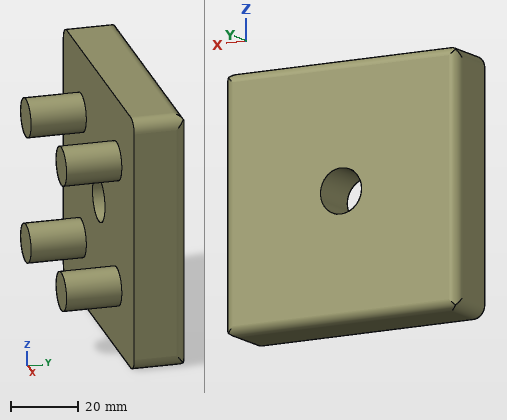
import cadquery as cq

plate_side = 80.0
plate_thickness = 16.0
corner_radius = 4.0
back_edge_radius = 3.0

hole_diameter = 14.0

pin_diameter = 12.0
pin_length = 17.0
pin_spacing = plate_side / 2


def make_plate():
    """Plate with rounded corners and straight back-edge rounds that meet in mitres."""
    plate = cq.Workplane("XY").box(
        plate_side, plate_thickness, plate_side, centered=(True, False, True)
    )
    rounded_outline = plate.edges("|Y").fillet(corner_radius)
    rounded_along_x = plate.faces(">Y").edges("|X").fillet(back_edge_radius)
    rounded_along_z = plate.faces(">Y").edges("|Z").fillet(back_edge_radius)
    plate = rounded_outline.intersect(rounded_along_x).intersect(rounded_along_z)
    hole = cq.Workplane("XZ").circle(hole_diameter / 2).extrude(-plate_thickness)
    return plate.cut(hole)


def make_pins():
    """Square pattern of plain cylindrical pins."""
    return (
        cq.Workplane("XZ")
        .rect(pin_spacing, pin_spacing, forConstruction=True)
        .vertices()
        .circle(pin_diameter / 2)
        .extrude(pin_length)
    )


result = make_plate().union(make_pins())